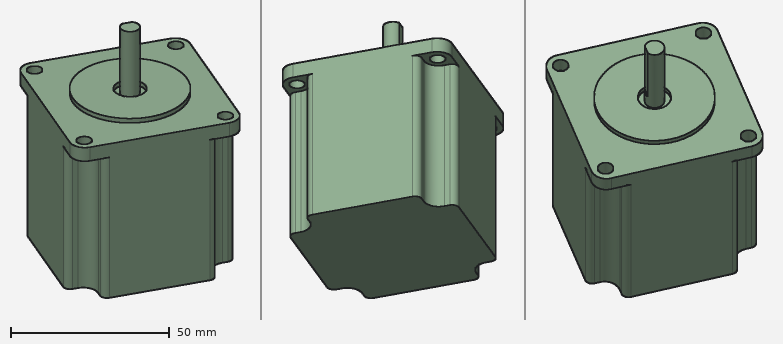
import cadquery as cq
import math

width = 56.4
total_height = 80.0
flange_top = 56.0
flange_thickness = 5.0
flange_corner_radius = 5.0
hole_spacing = 47.1
hole_diameter = 5.0
pilot_diameter = 38.1
pilot_height = 1.6
recess_diameter = 10.5
recess_depth = 1.6
shaft_diameter = 6.3
flat_depth = 0.5
flat_length = 20.0
groove_radius = 5.0
groove_center_inset = 4.2
groove_lip_radius = 2.3

half_width = width / 2
body_height = flange_top - flange_thickness
pilot_top = flange_top + pilot_height


def make_corner_groove():
    """Cutter for the groove at the +X +Y corner, including its two rounded lips."""
    groove_center = half_width - groove_center_inset
    wall = groove_center - groove_radius
    lip_start = wall - groove_lip_radius
    lip_end = half_width - groove_lip_radius
    lip_mid_offset = groove_lip_radius * math.sqrt(0.5)
    groove_mid = groove_center - groove_radius * math.sqrt(0.5)
    return (
        cq.Workplane("XY")
        .moveTo(half_width, lip_start)
        .threePointArc((lip_end + lip_mid_offset, lip_start + lip_mid_offset), (lip_end, wall))
        .lineTo(groove_center, wall)
        .threePointArc((groove_mid, groove_mid), (wall, groove_center))
        .lineTo(wall, lip_end)
        .threePointArc((lip_start + lip_mid_offset, lip_end + lip_mid_offset), (lip_start, half_width))
        .lineTo(half_width, half_width)
        .close()
        .extrude(body_height)
    )


def make_body():
    """Square column with a round-bottomed groove along each corner."""
    body = cq.Workplane("XY").rect(width, width).extrude(body_height)
    groove = make_corner_groove()
    for angle in (0, 90, 180, 270):
        body = body.cut(groove.rotate((0, 0, 0), (0, 0, 1), angle))
    return body


def make_flange():
    """Rounded square mounting plate with four through holes."""
    return (
        cq.Workplane("XY", origin=(0, 0, body_height))
        .rect(width, width)
        .extrude(flange_thickness)
        .edges("|Z")
        .fillet(flange_corner_radius)
        .faces(">Z")
        .workplane()
        .rect(hole_spacing, hole_spacing, forConstruction=True)
        .vertices()
        .hole(hole_diameter)
    )


def make_pilot():
    """Centring disc on top of the flange."""
    return cq.Workplane("XY", origin=(0, 0, flange_top)).circle(pilot_diameter / 2).extrude(pilot_height)


def make_recess():
    """Round pocket in the pilot around the shaft."""
    floor = pilot_top - recess_depth
    return cq.Workplane("XY", origin=(0, 0, floor)).circle(recess_diameter / 2).extrude(recess_depth)


def make_shaft():
    """Output shaft with a flat on its -X side that ends in a 45 degree slope."""
    base = pilot_top - recess_depth
    shaft = cq.Workplane("XY", origin=(0, 0, base)).circle(shaft_diameter / 2).extrude(total_height - base)
    flat_x = flat_depth - shaft_diameter / 2
    flat_bottom = total_height - flat_length
    cutter = (
        cq.Workplane("XZ")
        .moveTo(-shaft_diameter, total_height)
        .lineTo(flat_x, total_height)
        .lineTo(flat_x, flat_bottom + flat_depth)
        .lineTo(flat_x - flat_depth, flat_bottom)
        .lineTo(-shaft_diameter, flat_bottom)
        .close()
        .extrude(shaft_diameter / 2, both=True)
    )
    return shaft.cut(cutter)


housing = make_body().union(make_flange()).union(make_pilot()).cut(make_recess())
result = housing.union(make_shaft())